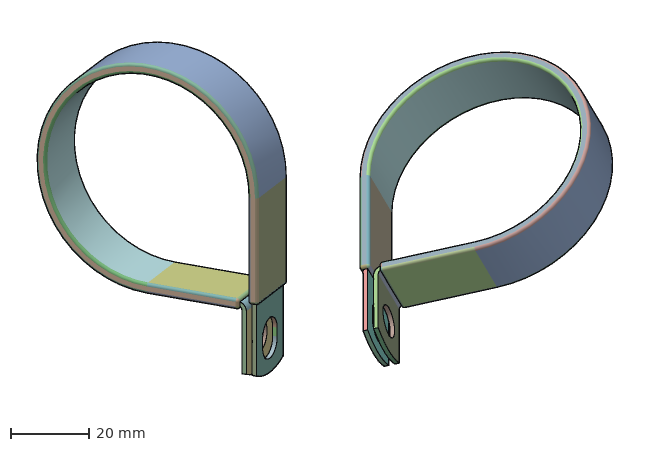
import cadquery as cq
import math

strip_thickness = 1.27
strip_width = 15.875

cushion_cover = 0.79375
cushion_thickness = strip_thickness + 2 * cushion_cover
cushion_width = strip_width + 2 * cushion_cover

loop_outer_radius = 31.38
loop_inner_radius = loop_outer_radius - cushion_thickness
side_run_length = 29.35
bottom_run_length = 25.9

strip_outer_radius = loop_outer_radius - cushion_cover
strip_inner_radius = strip_outer_radius - strip_thickness

tab_gap = 1.59
bend_inner_radius = 1.19
bend_outer_radius = bend_inner_radius + strip_thickness
bend_x = strip_inner_radius - tab_gap - bend_outer_radius
bend_z = -strip_outer_radius - bend_inner_radius

tab_tip_depth = 50.73
tab_tip_radius = 19.4
tab_tip_centre_depth = tab_tip_depth - tab_tip_radius
tab_corner_depth = tab_tip_centre_depth + math.sqrt(tab_tip_radius**2 - (strip_width / 2) ** 2)

bolt_depth = 41.3
hole_diameter = 8.65
slot_width = hole_diameter
slot_length = 11.1

diagonal = math.sqrt(0.5)


def extrude_centred(outline, width):
    """Extrude an XZ outline equally to both sides of Y = 0."""
    return outline.close().extrude(width / 2, both=True)


def make_cushion():
    """Loop with both straight runs; every edge is rounded."""
    outline = (
        cq.Workplane("XZ")
        .moveTo(loop_outer_radius, -side_run_length)
        .lineTo(loop_outer_radius, 0)
        .threePointArc(
            (-loop_outer_radius * diagonal, loop_outer_radius * diagonal),
            (0, -loop_outer_radius),
        )
        .lineTo(bottom_run_length, -loop_outer_radius)
        .lineTo(bottom_run_length, -loop_inner_radius)
        .lineTo(0, -loop_inner_radius)
        .threePointArc(
            (-loop_inner_radius * diagonal, loop_inner_radius * diagonal),
            (loop_inner_radius, 0),
        )
        .lineTo(loop_inner_radius, -side_run_length)
    )
    return extrude_centred(outline, cushion_width).edges().fillet(cushion_cover)


def make_straight_tab():
    """Strip continuing straight down from the side run."""
    outline = (
        cq.Workplane("XZ")
        .moveTo(strip_inner_radius, -side_run_length)
        .lineTo(strip_outer_radius, -side_run_length)
        .lineTo(strip_outer_radius, -tab_tip_depth)
        .lineTo(strip_inner_radius, -tab_tip_depth)
    )
    return extrude_centred(outline, strip_width)


def make_bent_tab():
    """Strip leaving the bottom run and bending down beside the straight tab."""
    outline = (
        cq.Workplane("XZ")
        .moveTo(bend_x, -strip_inner_radius)
        .threePointArc(
            (bend_x + bend_outer_radius * diagonal, bend_z + bend_outer_radius * diagonal),
            (bend_x + bend_outer_radius, bend_z),
        )
        .lineTo(bend_x + bend_outer_radius, -tab_tip_depth)
        .lineTo(bend_x + bend_inner_radius, -tab_tip_depth)
        .lineTo(bend_x + bend_inner_radius, bend_z)
        .threePointArc(
            (bend_x + bend_inner_radius * diagonal, bend_z + bend_inner_radius * diagonal),
            (bend_x, -strip_outer_radius),
        )
    )
    return extrude_centred(outline, strip_width)


def round_tip(tab):
    """Cut the lower end of a tab to a shallow arc across its width."""
    half_width = strip_width / 2
    envelope = (
        cq.Workplane("YZ")
        .moveTo(-half_width, 0)
        .lineTo(-half_width, -tab_corner_depth)
        .threePointArc((0, -tab_tip_depth), (half_width, -tab_corner_depth))
        .lineTo(half_width, 0)
        .close()
        .extrude(loop_outer_radius)
    )
    return tab.intersect(envelope)


def bolt_plane():
    """YZ sketch plane centred on the bolt axis."""
    return cq.Workplane("YZ").center(0, -bolt_depth)


def make_bolt_hole():
    """Round bar along the bolt axis."""
    return bolt_plane().circle(hole_diameter / 2).extrude(loop_outer_radius)


def make_bolt_slot():
    """Slot-shaped bar along the bolt axis, longer in Z."""
    return bolt_plane().slot2D(slot_length, slot_width, angle=90).extrude(loop_outer_radius)


straight_tab = round_tip(make_straight_tab()).cut(make_bolt_slot())
bent_tab = round_tip(make_bent_tab()).cut(make_bolt_hole())
result = make_cushion().union(straight_tab).union(bent_tab)